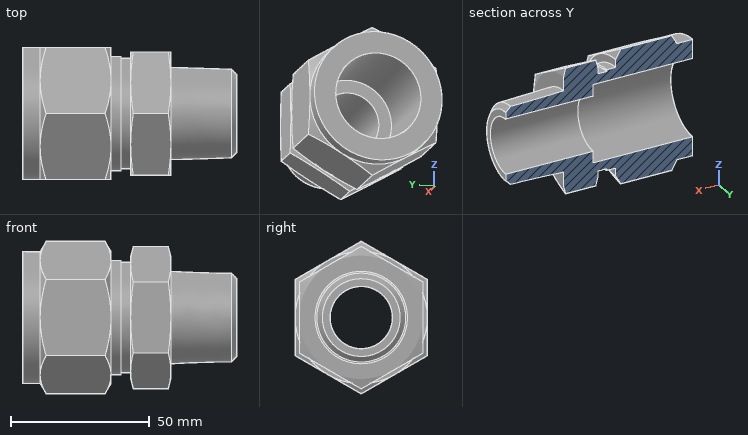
import cadquery as cq
import math


collar_end = 6.35
nut_end = 31.85
shoulder_end = 35.5
body_hex_start = 38.95
body_hex_end = 53.4
pipe_taper_start = 54.65
total_length = 77.21

nut_across_flats = 47.625
nut_chamfer_angle = 30.0
body_across_flats = 44.45
body_chamfer_angle = 15.0

shoulder_diameter = 41.275
neck_diameter = 39.9
pipe_diameter = 33.3
pipe_taper = 1 / 16
pipe_end_chamfer = 2.0

tube_socket_diameter = 31.75
tube_socket_depth = 41.1
through_bore_diameter = 22.35


def cylinder(start, end, diameter):
    """Solid cylinder on the X axis between two positions."""
    return cq.Workplane("YZ").workplane(offset=start).circle(diameter / 2).extrude(end - start)


def revolve_about_axis(profile_points):
    """Solid of revolution about X from (position, radius) points."""
    profile = cq.Workplane("XY").polyline(profile_points).close()
    return profile.revolve(360, (0, 0, 0), (1, 0, 0))


def chamfered_hexagon(start, end, across_flats, chamfer_angle):
    """Hexagon with corners at +Z and -Z, its corners cut by a cone at both ends."""
    flat_radius = across_flats / 2
    corner_radius = flat_radius / math.cos(math.radians(30))
    prism = (
        cq.Workplane("YZ")
        .workplane(offset=start)
        .transformed(rotate=(0, 0, 90))
        .polygon(6, 2 * corner_radius)
        .extrude(end - start)
    )
    chamfer_length = (corner_radius - flat_radius) * math.tan(math.radians(chamfer_angle))
    envelope = revolve_about_axis([
        (start, 0),
        (start, flat_radius),
        (start + chamfer_length, corner_radius),
        (end - chamfer_length, corner_radius),
        (end, flat_radius),
        (end, 0),
    ])
    return prism.intersect(envelope)


def pipe_end():
    """Short cylinder, then a tapered length finished with a 45 degree chamfer."""
    base_radius = pipe_diameter / 2
    chamfer_start = total_length - pipe_end_chamfer
    tip_radius = base_radius - (chamfer_start - pipe_taper_start) * pipe_taper / 2
    return revolve_about_axis([
        (body_hex_end, 0),
        (body_hex_end, base_radius),
        (pipe_taper_start, base_radius),
        (chamfer_start, tip_radius),
        (total_length, tip_radius - pipe_end_chamfer),
        (total_length, 0),
    ])


def bores():
    """Tube socket from the nut end, and the smaller bore through the whole part."""
    socket = cylinder(0, tube_socket_depth, tube_socket_diameter)
    return socket.union(cylinder(0, total_length, through_bore_diameter))


collar = cylinder(0, collar_end, nut_across_flats)
nut = chamfered_hexagon(collar_end, nut_end, nut_across_flats, nut_chamfer_angle)
shoulder = cylinder(nut_end, shoulder_end, shoulder_diameter)
neck = cylinder(shoulder_end, body_hex_start, neck_diameter)
body_hex = chamfered_hexagon(body_hex_start, body_hex_end, body_across_flats, body_chamfer_angle)

outside = collar.union(nut).union(shoulder).union(neck).union(body_hex).union(pipe_end())
result = outside.cut(bores())